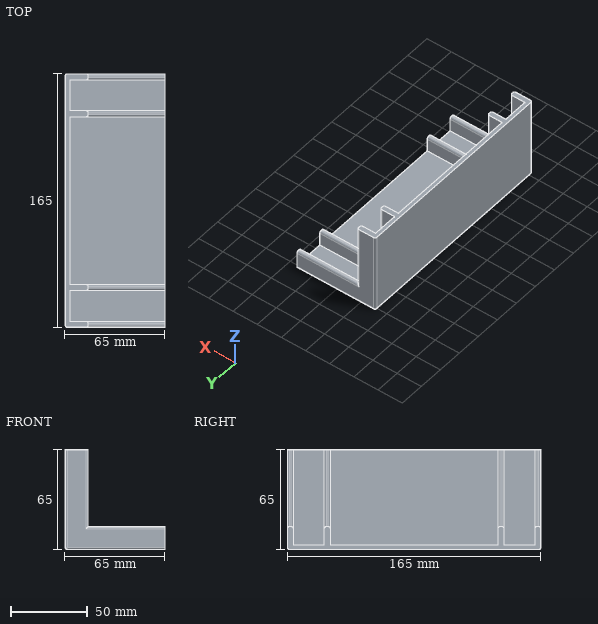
import cadquery as cq

leg_length = 65.0
bracket_width = 165.0
wall_thickness = 3.0

rib_thickness = 4.0
rib_height = 15.0
rib_gap = 20.0

edge_radius = 1.5

half_width = bracket_width / 2
rib_pitch = rib_thickness + rib_gap


def angle_profile(thickness):
    """L-shaped outline in the XZ plane with its outer corner at the origin."""
    return (
        cq.Workplane("XZ")
        .polyline([
            (0, 0),
            (leg_length, 0),
            (leg_length, thickness),
            (thickness, thickness),
            (thickness, leg_length),
            (0, leg_length),
        ])
        .close()
    )


def make_shell():
    """Back wall and floor, running the full width."""
    return angle_profile(wall_thickness).extrude(half_width, both=True)


def make_rib(y_center):
    """Rib following both legs, with both edges of its crest rounded."""
    rib = angle_profile(rib_height).extrude(rib_thickness / 2, both=True)
    crest_middle = (rib_height + leg_length) / 2
    floor_crest = rib.faces(cq.NearestToPointSelector((crest_middle, 0, rib_height)))
    wall_crest = rib.faces(cq.NearestToPointSelector((rib_height, 0, crest_middle)))
    crest_edges = floor_crest.edges("|X").add(wall_crest.edges("|Z"))
    rib = crest_edges.fillet(edge_radius)
    return rib.translate((0, y_center, 0))


def round_outer_edges(body):
    """Round the edges around the back and underside, leaving the free leg ends square."""
    back_edges = body.faces("<X").edges("|Z or <Z")
    floor_end_edges = body.faces("<Z").edges("|X")
    return back_edges.add(floor_end_edges).fillet(edge_radius)


def make_bracket():
    """Shell with a pair of ribs at each end."""
    outer_rib_y = half_width - rib_thickness / 2
    inner_rib_y = outer_rib_y - rib_pitch
    body = make_shell()
    for y_center in (-outer_rib_y, -inner_rib_y, inner_rib_y, outer_rib_y):
        body = body.union(make_rib(y_center))
    return round_outer_edges(body.clean())


result = make_bracket()